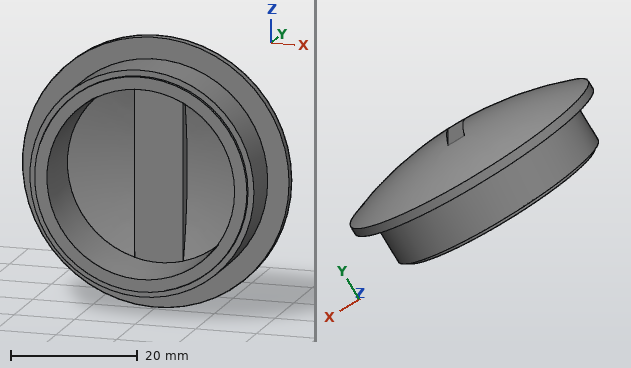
import cadquery as cq
import math

flange_radius = 22.0
body_radius = 18.5
lip_radius = 17.5
mouth_radius = 15.5
floor_radius = 15.15
lip_height = 0.6
flange_bottom = 8.0
flange_thickness = 1.5
total_height = 14.0
cavity_depth = 9.8
shell_thickness = 2.0
rib_width = 8.0
rib_face_height = 9.72
slot_width = 3.0
slot_depth = 0.5

flange_top = flange_bottom + flange_thickness
dome_rise = total_height - flange_top
dome_radius = (flange_radius**2 + dome_rise**2) / (2 * dome_rise)
dome_center = total_height - dome_radius

ceiling_apex = total_height - shell_thickness
ceiling_rise = ceiling_apex - cavity_depth
ceiling_radius = (floor_radius**2 + ceiling_rise**2) / (2 * ceiling_rise)
ceiling_center = ceiling_apex - ceiling_radius


def arc_midpoint(sphere_radius, center_height, edge_radius):
    """Point on a spherical cap's profile halfway in radius to its edge."""
    radius = edge_radius / 2
    return radius, center_height + math.sqrt(sphere_radius**2 - radius**2)


def revolve_about_y(profile):
    return profile.close().revolve(360, (0, 0, 0), (0, 1, 0))


def outer_solid():
    profile = (
        cq.Workplane("XY")
        .lineTo(lip_radius, 0)
        .lineTo(lip_radius, lip_height)
        .lineTo(body_radius, lip_height)
        .lineTo(body_radius, flange_bottom)
        .lineTo(flange_radius, flange_bottom)
        .lineTo(flange_radius, flange_top)
        .threePointArc(arc_midpoint(dome_radius, dome_center, flange_radius), (0, total_height))
    )
    return revolve_about_y(profile)


def cavity():
    profile = (
        cq.Workplane("XY")
        .lineTo(mouth_radius, 0)
        .lineTo(floor_radius, cavity_depth)
        .threePointArc(arc_midpoint(ceiling_radius, ceiling_center, floor_radius), (0, ceiling_apex))
    )
    return revolve_about_y(profile)


def bar_along_z(width, start, end):
    """Rectangular bar across the whole cap, between two heights on Y."""
    return cq.Workplane("XY").box(width, end - start, 2 * flange_radius).translate((0, (start + end) / 2, 0))


rib = bar_along_z(rib_width, rib_face_height, total_height)
slot = bar_along_z(slot_width, total_height - slot_depth, total_height)

result = outer_solid().cut(cavity().cut(rib)).cut(slot)